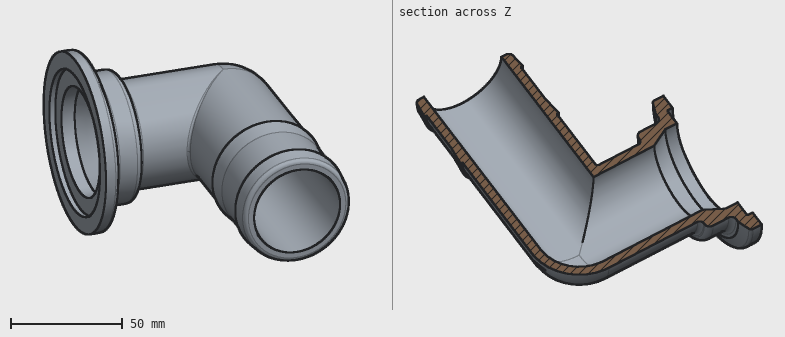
import cadquery as cq
import math

pipe_radius = 50.1 / 2
bore_radius = 40.9 / 2
crotch_fillet = 1.1

inlet_length = 70.6
flange_radius = 83.0 / 2
flange_rim_height = 5.9
flange_slope = math.radians(20)
shoulder_radius = 34.8
flange_rim_fillet = 1.7
flange_root_fillet = 2.4
collar_radius = 61.0 / 2
collar_height = 21.8
collar_edge_fillet = 2.8
collar_root_fillet = 2.0
seat_radius = 67.3 / 2
seat_depth = 2.8
mouth_radius = 50.8 / 2
mouth_depth = 6.3
mouth_taper_length = 9.0

overall_length = 139.6
outlet_length = overall_length - flange_radius
barb_radius = 26.1
inner_barb_start = 58.3
inner_barb_length = 9.6
end_barb_start = 88.6
barb_slope = (barb_radius - pipe_radius) / inner_barb_length
outlet_end_fillet = 2.1

match_tolerance = 0.01


def round_ring(leg, height, radius, fillet):
    """Fillet the circular edge of the inlet leg at the given height and radius."""
    center_y = height - inlet_length
    ring = leg.edges("%CIRCLE").filter(
        lambda edge: abs(edge.Center().y - center_y) < match_tolerance
        and abs(edge.radius() - radius) < match_tolerance
    )
    return ring.fillet(fillet)


def make_inlet_leg():
    """Straight pipe with a collar and a tapered flange, revolved about Y."""
    face = -inlet_length
    shoulder_height = flange_rim_height + (flange_radius - shoulder_radius) * math.tan(flange_slope)
    leg = (
        cq.Workplane("XY")
        .moveTo(0, face)
        .lineTo(flange_radius, face)
        .lineTo(flange_radius, face + flange_rim_height)
        .lineTo(shoulder_radius, face + shoulder_height)
        .lineTo(collar_radius, face + shoulder_height)
        .lineTo(collar_radius, face + collar_height)
        .lineTo(pipe_radius, face + collar_height)
        .lineTo(pipe_radius, 0)
        .lineTo(0, 0)
        .close()
        .revolve(360, (0, 0, 0), (0, 1, 0))
    )
    leg = round_ring(leg, flange_rim_height, flange_radius, flange_rim_fillet)
    leg = round_ring(leg, shoulder_height, collar_radius, flange_root_fillet)
    leg = round_ring(leg, collar_height, collar_radius, collar_edge_fillet)
    return round_ring(leg, collar_height, pipe_radius, collar_root_fillet)


def make_outlet_leg():
    """Straight pipe with two tapered hose barbs, revolved about X."""
    end_radius = barb_radius - barb_slope * (outlet_length - end_barb_start)
    leg = (
        cq.Workplane("XY")
        .lineTo(0, pipe_radius)
        .lineTo(inner_barb_start, pipe_radius)
        .lineTo(inner_barb_start, barb_radius)
        .lineTo(inner_barb_start + inner_barb_length, pipe_radius)
        .lineTo(end_barb_start, pipe_radius)
        .lineTo(end_barb_start, barb_radius)
        .lineTo(outlet_length, end_radius)
        .lineTo(outlet_length, 0)
        .close()
        .revolve(360, (0, 0, 0), (1, 0, 0))
    )
    return leg.faces(">X").edges().fillet(outlet_end_fillet)


def make_passage():
    """Bore through both legs, with a round corner, a tapered mouth and a gasket seat."""
    seat_floor = seat_depth - inlet_length
    inlet_cutter = (
        cq.Workplane("XY")
        .moveTo(0, -inlet_length)
        .lineTo(seat_radius, -inlet_length)
        .lineTo(seat_radius, seat_floor)
        .lineTo(mouth_radius, seat_floor)
        .lineTo(mouth_radius, seat_floor + mouth_depth)
        .lineTo(bore_radius, seat_floor + mouth_depth + mouth_taper_length)
        .lineTo(bore_radius, 0)
        .lineTo(0, 0)
        .close()
        .revolve(360, (0, 0, 0), (0, 1, 0))
    )
    outlet_cutter = cq.Workplane("YZ").circle(bore_radius).extrude(outlet_length)
    return inlet_cutter.union(outlet_cutter).union(cq.Workplane("XY").sphere(bore_radius))


legs = make_inlet_leg().union(make_outlet_leg())
legs = legs.edges("%ELLIPSE").fillet(crotch_fillet)

corner_ball = cq.Workplane("XY").sphere(pipe_radius)
result = legs.union(corner_ball).cut(make_passage())